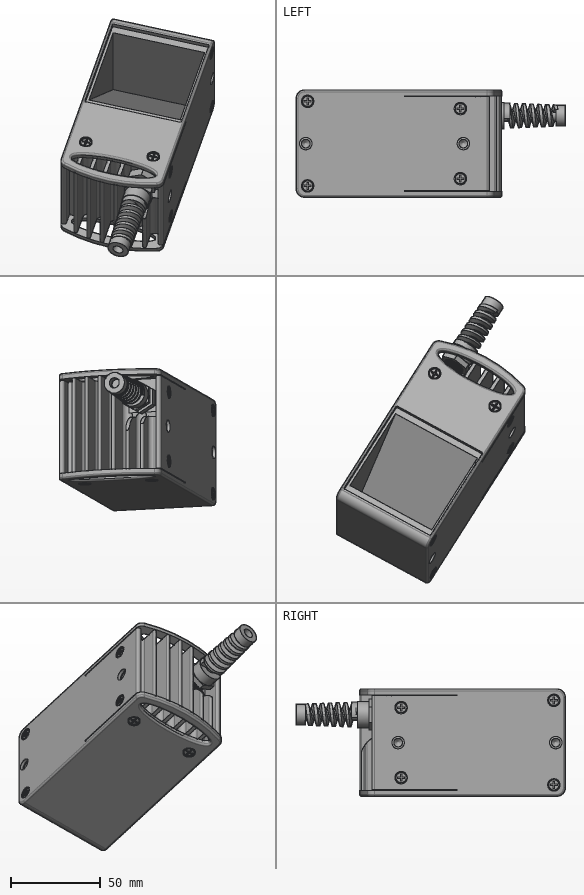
import cadquery as cq
import math

TOTAL_LENGTH = 150.1
WIDTH = 59.3
HEIGHT = 59.9
EDGE_FILLET = 1.0
BACK_RADIUS = 4.8
SIDE_WALL = 3.2

COVER_BACK_Y = -60.3
COVER_THICKNESS = 3.3
COVER_APEX_Y = -114.7
COVER_ARC_RADIUS = 84.0
COVER_CORNER_RADIUS = 4.2
SEAM_WIDTH = 0.5
VENT_Y = -103.9
VENT_HALF_LENGTH = 24.3
VENT_HALF_WIDTH = 5.4

WINDOW_BACK_Y = -6.0
WINDOW_FRONT_Y = -64.0
WINDOW_HALF_WIDTH = 27.9
WINDOW_DEPTH = 2.4
WINDOW_CORNER_RADIUS = 0.9
SHAFT_BACK_Y = -10.2
SHAFT_HALF_WIDTH = 26.4

SIDE_WALL_END_Y = -107.9
FLOOR_Y = -96.8
FIN_COUNT = 6
FIN_PITCH = 8.0
FIN_THICKNESS = 2.1
FIN_SHIFT = -0.08
FIN_APEX_Y = -114.7
FIN_ARC_RADIUS = 67.5
FIN_ROOT_RADIUS = 2.7

GLAND_X = 15.5
GLAND_Z = 15.6
CLEARING_LEFT_X = 8.0
CLEARING_BOTTOM_Z = 8.0
CLEARING_SLOPE = 3.3
FIN_RELIEF_RADIUS = 14.3
NUT_ACROSS_FLATS = 15.0
BACK_NUT_END_Y = -101.6
THREAD_RADIUS = 5.9
THREAD_PITCH = 0.8
THREAD_DEPTH = 0.5
THREAD_END_Y = -106.3
FRONT_NUT_END_Y = -109.5
COLLAR_RADIUS = 7.4
COLLAR_END_Y = -115.9
COLLAR_LIP_END_Y = -119.2
COLLAR_LIP_RADIUS = 7.0
COLLAR_LIP_LOW_Z = -1.5
CORE_RADIUS = 3.2
RIB_ROOT_RADIUS = 2.4
RIB_BLANK_RADIUS = 7.8
RIB_PITCH = 4.4
RIB_START_Y = -117.0
RIB_TURNS = 6.4
RIB_START_RADIUS = 7.2
RIB_ROOT_WIDTH = 3.9
RIB_TIP_WIDTH = 0.9
TIP_RADIUS = 5.9
TIP_START_Y = -144.8
CABLE_HOLE_RADIUS = 2.9

SCREW_RADIUS = 3.5
SCREW_SEAT_DEPTH = 0.8
SCREW_HEAD_RADIUS = 2.9
SCREW_HEAD_HEIGHT = 0.53
CROSS_LENGTH = 3.9
CROSS_WIDTH = 0.8
CROSS_DEPTH = 1.2
SCREW_FRONT_Y = -91.5
SCREW_FRONT_OFFSET = 19.5
SCREW_BACK_Y = -6.5
SCREW_BACK_OFFSET = 23.5
MOUNT_HOLE_YS = (-5.4, -93.2)
MOUNT_HOLE_DIAMETER = 4.8
MOUNT_HOLE_RIM_DIAMETER = 6.9
MOUNT_HOLE_RIM_DEPTH = 1.8

half_width = WIDTH / 2
half_height = HEIGHT / 2
cover_inner_z = half_height - COVER_THICKNESS
window_z = half_height - WINDOW_DEPTH
wall_inner_x = half_width - SIDE_WALL


def box(x_range, y_range, z_range):
    """Box spanning the given pairs of coordinates."""
    (x0, x1), (y0, y1), (z0, z1) = x_range, y_range, z_range
    return cq.Workplane("XY").box(x1 - x0, y1 - y0, z1 - z0, centered=False).translate((x0, y0, z0))


def arc_y(x, apex_y, radius):
    """Y of a front arc that bulges toward -Y, at the given x."""
    return apex_y + radius - math.sqrt(radius**2 - x**2)


def arc_fronted(half_x, back_y, apex_y, radius, z_range):
    """Block with a straight back and an arc-shaped front."""
    corner_y = arc_y(half_x, apex_y, radius)
    return (
        cq.Workplane("XY", origin=(0, 0, z_range[0]))
        .moveTo(-half_x, back_y)
        .lineTo(-half_x, corner_y)
        .threePointArc((0, apex_y), (half_x, corner_y))
        .lineTo(half_x, back_y)
        .close()
        .extrude(z_range[1] - z_range[0])
    )


def between_covers(x_range, y_range):
    """Box that fills the height between the two covers."""
    return box(x_range, y_range, (-cover_inner_z, cover_inner_z))


def round_ended(middle_x, thickness, start_y, end_y):
    """Plate between the covers, lying along Y, with a half-round end at end_y."""
    radius = thickness / 2
    end_center_y = end_y + math.copysign(radius, start_y - end_y)
    return (
        cq.Workplane("XY", origin=(0, 0, -cover_inner_z))
        .moveTo(middle_x - radius, start_y)
        .lineTo(middle_x - radius, end_center_y)
        .threePointArc((middle_x, end_y), (middle_x + radius, end_center_y))
        .lineTo(middle_x + radius, start_y)
        .close()
        .extrude(2 * cover_inner_z)
    )


def housing():
    """Rounded outer shape without any openings."""
    shape = arc_fronted(half_width, 0, COVER_APEX_Y, COVER_ARC_RADIUS, (-half_height, half_height))
    shape = shape.edges("|X and >Y").fillet(BACK_RADIUS)
    shape = shape.edges("|Z").edges("<Y").fillet(COVER_CORNER_RADIUS)
    return shape.faces(">Z or <Z").edges("not |X").fillet(EDGE_FILLET)


def vented(shape):
    """Adds the rounded elliptical vent that passes through both covers."""
    vent = (
        cq.Workplane("XY", origin=(0, VENT_Y, -half_height))
        .ellipse(VENT_HALF_LENGTH, VENT_HALF_WIDTH)
        .extrude(HEIGHT)
    )
    shape = shape.cut(vent)
    return shape.faces(">Z or <Z").edges("%ELLIPSE").fillet(EDGE_FILLET)


def side_wall_end():
    """Front end of the +X side wall, rounded over its full thickness."""
    middle_x = half_width - SIDE_WALL / 2
    return round_ended(middle_x, SIDE_WALL, FLOOR_Y, SIDE_WALL_END_Y)


def seam():
    """Narrow gap between the +X side wall and the upper cover."""
    return box(
        (wall_inner_x, half_width),
        (-TOTAL_LENGTH, COVER_BACK_Y),
        (cover_inner_z - SEAM_WIDTH, cover_inner_z),
    )


def window_recess():
    """Shallow seat for a window pane, reaching into the upper cover."""
    recess = box(
        (-WINDOW_HALF_WIDTH, WINDOW_HALF_WIDTH),
        (WINDOW_FRONT_Y, WINDOW_BACK_Y),
        (window_z, half_height),
    )
    return recess.edges("|Z and <Y").fillet(WINDOW_CORNER_RADIUS)


def light_shaft():
    """Shaft below the window whose floor drops at 45 degrees toward the back."""
    depth = SHAFT_BACK_Y - COVER_BACK_Y
    return (
        cq.Workplane("YZ", origin=(-SHAFT_HALF_WIDTH, 0, 0))
        .moveTo(COVER_BACK_Y, window_z)
        .lineTo(SHAFT_BACK_Y, window_z)
        .lineTo(SHAFT_BACK_Y, window_z - depth)
        .close()
        .extrude(2 * SHAFT_HALF_WIDTH)
    )


def gland_clearing():
    """Space cut from the fins around the gland: a sloped shelf, then a convex arc."""
    shelf_y = FLOOR_Y - CLEARING_SLOPE
    shelf_z = CLEARING_BOTTOM_Z - CLEARING_SLOPE
    arc_center_z = shelf_z - FIN_RELIEF_RADIUS
    arc_step = FIN_RELIEF_RADIUS * math.sin(math.pi / 4)
    arc_middle = (shelf_y - arc_step, arc_center_z + arc_step)
    arc_end = (shelf_y - FIN_RELIEF_RADIUS, arc_center_z)
    return (
        cq.Workplane("YZ", origin=(CLEARING_LEFT_X, 0, 0))
        .moveTo(FLOOR_Y, cover_inner_z)
        .lineTo(FLOOR_Y, CLEARING_BOTTOM_Z)
        .lineTo(shelf_y, shelf_z)
        .threePointArc(arc_middle, arc_end)
        .lineTo(shelf_y - FIN_RELIEF_RADIUS, cover_inner_z)
        .close()
        .extrude(wall_inner_x - CLEARING_LEFT_X)
    )


def fins():
    """Row of round-ended fins on a grooved base, cleared around the gland."""
    first_x = FIN_SHIFT - FIN_PITCH * (FIN_COUNT - 1) / 2
    last_x = first_x + FIN_PITCH * (FIN_COUNT - 1)
    half_fin = FIN_THICKNESS / 2
    base_y = FLOOR_Y - CLEARING_SLOPE

    shape = between_covers((-wall_inner_x, wall_inner_x), (base_y, FLOOR_Y))
    for i in range(FIN_COUNT - 1):
        groove_x = first_x + (i + 0.5) * FIN_PITCH
        shape = shape.cut(round_ended(groove_x, FIN_PITCH - FIN_THICKNESS, base_y, FLOOR_Y))
    for i in range(FIN_COUNT):
        fin_x = first_x + i * FIN_PITCH
        tip_y = arc_y(fin_x, FIN_APEX_Y, FIN_ARC_RADIUS)
        shape = shape.union(round_ended(fin_x, FIN_THICKNESS, FLOOR_Y, tip_y))
    for corner_x in (first_x - half_fin, last_x + half_fin):
        corner = cq.selectors.NearestToPointSelector((corner_x, base_y, 0))
        shape = shape.edges(corner).fillet(FIN_ROOT_RADIUS)
    return shape.cut(gland_clearing())


def cone(start_y, end_y, start_radius, end_radius):
    """Round piece along Y from start_y toward -Y."""
    return (
        cq.Workplane("XY")
        .moveTo(0, start_y)
        .lineTo(start_radius, start_y)
        .lineTo(end_radius, end_y)
        .lineTo(0, end_y)
        .close()
        .revolve(360, (0, 0, 0), (0, 1, 0))
    )


def cylinder(start_y, end_y, radius):
    """Straight round piece along Y."""
    return cone(start_y, end_y, radius, radius)


def hex_nut(start_y, end_y):
    """Hexagonal nut with corners pointing up and down."""
    across_corners = NUT_ACROSS_FLATS / math.cos(math.pi / 6)
    nut = cq.Workplane("XZ", origin=(0, start_y, 0)).polygon(6, across_corners).extrude(start_y - end_y)
    return nut.rotate((0, 0, 0), (0, 1, 0), 90)


def spiral_rib():
    """Right-handed rib around the flexible sleeve, trimmed to a slight taper."""
    rib_length = RIB_PITCH * RIB_TURNS
    rib_end_y = RIB_START_Y - rib_length
    path = cq.Workplane(cq.Wire.makeHelix(RIB_PITCH, rib_length, CORE_RADIUS))
    rib = (
        cq.Workplane("XZ")
        .moveTo(RIB_ROOT_RADIUS, -RIB_ROOT_WIDTH / 2)
        .lineTo(RIB_BLANK_RADIUS, -RIB_TIP_WIDTH / 2)
        .lineTo(RIB_BLANK_RADIUS, RIB_TIP_WIDTH / 2)
        .lineTo(RIB_ROOT_RADIUS, RIB_ROOT_WIDTH / 2)
        .close()
        .sweep(path, isFrenet=True)
    )
    rib = rib.rotate((0, 0, 0), (1, 0, 0), 90).translate((0, RIB_START_Y, 0))
    taper = cone(RIB_START_Y + RIB_PITCH, rib_end_y - RIB_PITCH, RIB_START_RADIUS, TIP_RADIUS)
    return rib.intersect(taper)


def thread():
    """Screw thread between the nuts, as a row of pointed rings."""
    root_radius = THREAD_RADIUS - THREAD_DEPTH
    shape = cylinder(FLOOR_Y, FRONT_NUT_END_Y, root_radius)
    ring_count = math.ceil((BACK_NUT_END_Y - THREAD_END_Y) / THREAD_PITCH)
    for i in range(ring_count):
        ring_y = BACK_NUT_END_Y - i * THREAD_PITCH
        crest_y = ring_y - THREAD_PITCH / 2
        shape = shape.union(cone(ring_y, crest_y, root_radius, THREAD_RADIUS))
        shape = shape.union(cone(crest_y, ring_y - THREAD_PITCH, THREAD_RADIUS, root_radius))
    return shape


def collar():
    """Plain collar with a lip on its upper part, where the spiral runs out."""
    lip = cylinder(COLLAR_END_Y, COLLAR_LIP_END_Y, COLLAR_LIP_RADIUS)
    lip_space = box(
        (-COLLAR_RADIUS, COLLAR_RADIUS),
        (COLLAR_LIP_END_Y, COLLAR_END_Y),
        (COLLAR_LIP_LOW_Z, COLLAR_RADIUS),
    )
    return cylinder(FRONT_NUT_END_Y, COLLAR_END_Y, COLLAR_RADIUS).union(lip.intersect(lip_space))


def gland():
    """Complete cable gland with its spiral sleeve and cable hole."""
    core = cylinder(COLLAR_END_Y, TIP_START_Y, CORE_RADIUS)
    tip = cylinder(TIP_START_Y, -TOTAL_LENGTH, TIP_RADIUS)
    shape = core.union(tip).union(spiral_rib())
    shape = shape.union(collar())
    shape = shape.union(thread())
    shape = shape.union(hex_nut(FLOOR_Y, BACK_NUT_END_Y))
    shape = shape.union(hex_nut(THREAD_END_Y, FRONT_NUT_END_Y))
    shape = shape.cut(cylinder(TIP_START_Y, -TOTAL_LENGTH, CABLE_HOLE_RADIUS))
    return shape.translate((GLAND_X, 0, GLAND_Z))


def add_screw(shape, face):
    """Sinks a cross-head screw into the face that carries the given workplane."""
    seat = face.circle(SCREW_RADIUS).circle(SCREW_HEAD_RADIUS).extrude(-SCREW_SEAT_DEPTH)
    head_gap = face.circle(SCREW_RADIUS).extrude(SCREW_HEAD_HEIGHT - SCREW_SEAT_DEPTH)
    shape = shape.cut(seat).cut(head_gap)
    for length, width in ((CROSS_LENGTH, CROSS_WIDTH), (CROSS_WIDTH, CROSS_LENGTH)):
        shape = shape.cut(face.rect(length, width).extrude(-CROSS_DEPTH))
    return shape


def add_mount_hole(shape, face):
    """Counterbore with a 45-degree conical hole at its bottom."""
    hole_radius = MOUNT_HOLE_DIAMETER / 2
    shape = shape.cut(face.circle(MOUNT_HOLE_RIM_DIAMETER / 2).extrude(-MOUNT_HOLE_RIM_DEPTH))
    bottom = face.workplane(offset=-MOUNT_HOLE_RIM_DEPTH)
    tip = cq.Solid.makeCone(hole_radius, 0, hole_radius, bottom.plane.origin, -bottom.plane.zDir)
    return shape.cut(cq.Workplane(tip))


def cover_face(side, x, y):
    """Workplane on the upper (side = 1) or lower (side = -1) cover."""
    return cq.Workplane(cq.Plane((x, y, side * half_height), xDir=(1, 0, 0), normal=(0, 0, side)))


def side_face(side, y, z):
    """Workplane on the +X (side = 1) or -X (side = -1) wall."""
    return cq.Workplane(cq.Plane((side * half_width, y, z), xDir=(0, 1, 0), normal=(side, 0, 0)))


result = vented(housing().cut(between_covers((-WIDTH, WIDTH), (-TOTAL_LENGTH, FLOOR_Y))))
result = result.union(fins())
wall_end = side_wall_end()
result = result.union(wall_end).union(wall_end.mirror("YZ"))
for cutter in (seam(), seam().mirror("XY")):
    result = result.cut(cutter).cut(cutter.mirror("YZ"))
result = result.cut(window_recess()).cut(light_shaft())

for side in (-1, 1):
    for end in (-1, 1):
        result = add_screw(result, cover_face(side, end * SCREW_FRONT_OFFSET, SCREW_FRONT_Y))
        result = add_screw(result, side_face(side, SCREW_FRONT_Y, end * SCREW_FRONT_OFFSET))
        result = add_screw(result, side_face(side, SCREW_BACK_Y, end * SCREW_BACK_OFFSET))
    for hole_y in MOUNT_HOLE_YS:
        result = add_mount_hole(result, side_face(side, hole_y, 0))

result = result.union(gland())